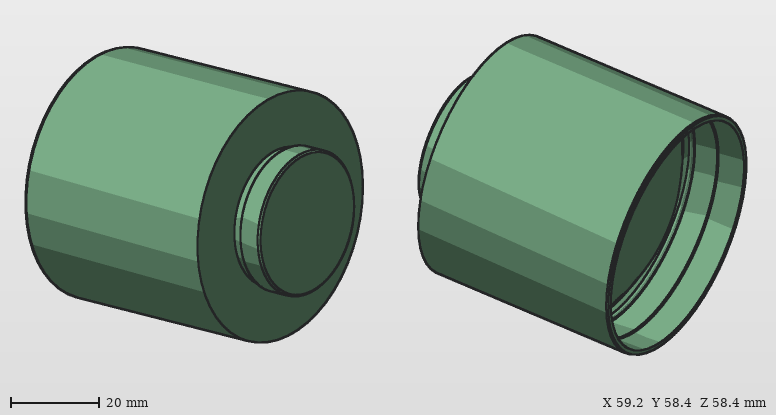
import cadquery as cq

total_length = 59.2
body_length = 51.15
body_diameter = 58.4
front_chamfer_length = 0.5
front_chamfer_height = 0.2

neck_diameter = 32.4
neck_length = 2.25
collar_diameter = 34.0
collar_front_chamfer = 0.25
collar_rear_chamfer = 0.5

mouth_diameter = 55.9
mouth_depth = 6.8
barrel_diameter = 55.5
barrel_start = 7.1
barrel_depth = 13.0
ring_diameter = 54.7
seat_diameter = 54.5
seat_start = 13.5
cone_start = 14.35
cone_end = 15.4
lens_diameter = 53.0
lens_edge_depth = 15.8
lens_bulge = 8.9


def turned_cylinder(start, length, diameter):
    """Cylinder along +X, starting at x = start."""
    return cq.Workplane("YZ", origin=(start, 0, 0)).circle(diameter / 2).extrude(length)


def make_housing():
    """Front body, neck and chamfered rear collar."""
    body = turned_cylinder(0, body_length, body_diameter)
    body = body.faces("<X").chamfer(front_chamfer_length, front_chamfer_height)
    neck = turned_cylinder(body_length, neck_length, neck_diameter)
    collar_start = body_length + neck_length
    collar = turned_cylinder(collar_start, total_length - collar_start, collar_diameter)
    collar = collar.faces("<X").chamfer(collar_front_chamfer)
    collar = collar.faces(">X").chamfer(collar_rear_chamfer)
    return body.union(neck).union(collar)


def make_cavity():
    """Stepped bore whose floor is the domed front face of the lens."""
    mouth_radius = mouth_diameter / 2
    barrel_radius = barrel_diameter / 2
    ring_radius = ring_diameter / 2
    seat_radius = seat_diameter / 2
    lens_radius = lens_diameter / 2
    dome_apex = lens_edge_depth - lens_bulge

    sphere_radius = (lens_radius**2 + lens_bulge**2) / (2 * lens_bulge)
    mid_radius = lens_radius / 2
    mid_depth = dome_apex + sphere_radius - (sphere_radius**2 - mid_radius**2) ** 0.5

    return (
        cq.Workplane("XY")
        .moveTo(0, 0)
        .lineTo(0, mouth_radius)
        .lineTo(mouth_depth, mouth_radius)
        .lineTo(barrel_start, barrel_radius)
        .lineTo(barrel_depth, barrel_radius)
        .lineTo(barrel_depth, ring_radius)
        .lineTo(seat_start, seat_radius)
        .lineTo(cone_start, seat_radius)
        .lineTo(cone_end, lens_radius)
        .lineTo(lens_edge_depth, lens_radius)
        .threePointArc((mid_depth, mid_radius), (dome_apex, 0))
        .close()
        .revolve(360, (0, 0, 0), (1, 0, 0))
    )


result = make_housing().cut(make_cavity())